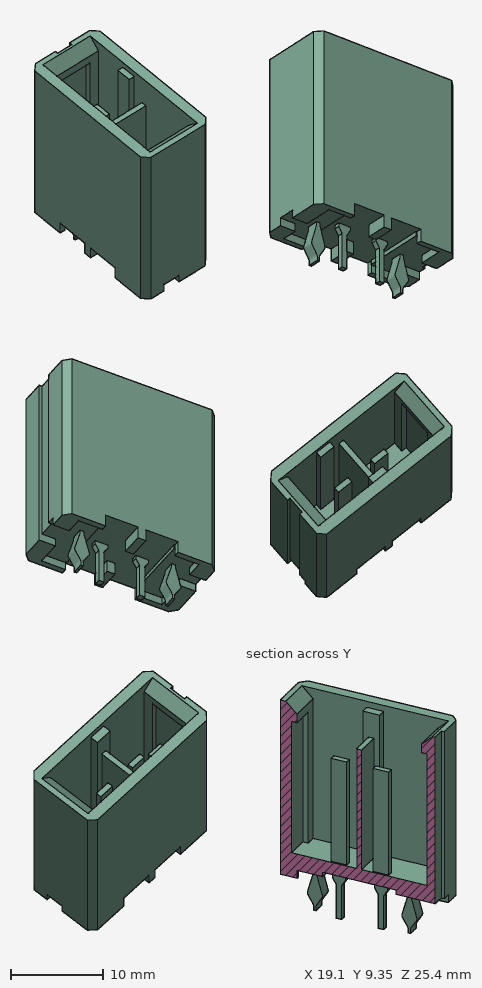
import cadquery as cq

total_height = 25.4
pin_drop = 3.84
housing_height = total_height - pin_drop
length = 19.08
width = 9.35
corner_chamfer = 0.8

mouth_length = 17.73
cavity_length = 15.04
cavity_width = 6.75
lead_in_depth = 1.27
floor_height = 3.05

recess_width = 4.37
recess_depth = 0.64
recess_top = housing_height - 2.35

partition_thickness = 0.64
partition_top = 17.8
key_top = 20.83
back_key_depth = 0.7
front_key_width = 2.03
front_key_depth = 0.97

groove_width = 2.03
groove_depth = 0.35

notch_length = 9.05
notch_inner_length = 8.85
notch_height = 1.5
pocket_height = 0.97
skirt_thickness = 0.69
rib_width = 1.0

contact_x = 2.55
contact_thickness = 0.65
blade_width = 1.88
blade_top = 15.75
shoulder_half = 0.8
shoulder_low = 1.07
tail_half = 0.33
taper_low = 0.33

clip_x = 5.72
clip_front = -1.63
clip_back = -0.2
opening_clearance = 0.35
opening_front = clip_front - opening_clearance
opening_back = clip_back + opening_clearance
neck_half = 0.23
neck_low = 0.6
barb_half = 0.91
barb_upper = (0.9, -1.68)
barb_widest_z = -1.88
barb_lower = (0.85, -2.1)
tip_half = 0.15
tip_curve_start = (0.23, -3.07)
tip_curve_middle = (0.18, -3.2)
tip_curve_end_z = -3.35


def block(x_range, y_range, z_range):
    """Axis-aligned box between the given limits."""
    x0, x1 = x_range
    y0, y1 = y_range
    z0, z1 = z_range
    box = cq.Workplane("XY").box(x1 - x0, y1 - y0, z1 - z0, centered=False)
    return box.translate((x0, y0, z0))


def centred(size, middle=0.0):
    """Limits of a span of the given size about its middle."""
    return (middle - size / 2, middle + size / 2)


def make_cavity():
    lead_in_low = housing_height - lead_in_depth
    outline = [
        (-cavity_length / 2, floor_height),
        (cavity_length / 2, floor_height),
        (cavity_length / 2, lead_in_low),
        (mouth_length / 2, housing_height),
        (-mouth_length / 2, housing_height),
        (-cavity_length / 2, lead_in_low),
    ]
    cavity = cq.Workplane("XZ").polyline(outline).close().extrude(cavity_width / 2, both=True)
    recess_length = cavity_length + 2 * recess_depth
    recesses = block(centred(recess_length), centred(recess_width), (floor_height, recess_top))
    return cavity.union(recesses)


def make_groove():
    end_face = -length / 2
    return block((end_face, end_face + groove_depth), centred(groove_width), (0, housing_height))


def make_under_cuts():
    """Shallow pocket with a deeper middle, opened at all four sides, less two ribs."""
    skirt_inner = width - 2 * skirt_thickness
    pocket = block(centred(cavity_length), centred(skirt_inner), (0, pocket_height))
    middle = block(centred(notch_inner_length), centred(skirt_inner), (0, notch_height))
    cuts = pocket.union(middle)
    for skirt_y in (-(width - skirt_thickness) / 2, (width - skirt_thickness) / 2):
        cuts = cuts.union(
            block(centred(notch_length), centred(skirt_thickness, skirt_y), (0, notch_height))
        )
    cuts = cuts.union(block((-length / 2, 0), (opening_front, groove_width / 2), (0, pocket_height)))
    cuts = cuts.union(block((0, length / 2), (opening_front, opening_back), (0, pocket_height)))
    for rib_span in ((-width / 2, opening_front), (-opening_front, width / 2)):
        cuts = cuts.cut(block(centred(rib_width), rib_span, (0, notch_height)))
    return cuts


def make_cavity_features():
    wall = cavity_width / 2
    partition = block(centred(partition_thickness), (-wall, wall), (floor_height, partition_top))
    back_key = block(
        centred(blade_width, -contact_x), (wall - back_key_depth, wall), (floor_height, key_top)
    )
    front_key = block(
        centred(front_key_width), (-wall, front_key_depth - wall), (floor_height, key_top)
    )
    return partition.union(back_key).union(front_key)


def make_contact(x):
    """Flat contact: wide blade in the cavity, narrow tail below the housing."""
    right_side = [
        (blade_width / 2, blade_top),
        (blade_width / 2, floor_height),
        (shoulder_half, floor_height),
        (shoulder_half, shoulder_low),
        (tail_half, taper_low),
        (tail_half, -pin_drop),
    ]
    left_side = [(-px, pz) for px, pz in reversed(right_side)]
    outline = cq.Workplane("XZ").polyline(right_side + left_side).close()
    return outline.extrude(contact_thickness / 2, both=True).translate((x, 0, 0))


def make_clip(x):
    """Board clip with a rounded diamond barb and a thin tip."""
    half = (
        cq.Workplane("XZ", origin=(0, clip_back, 0))
        .moveTo(0, floor_height)
        .lineTo(neck_half, floor_height)
        .lineTo(neck_half, neck_low)
        .lineTo(*barb_upper)
        .threePointArc((barb_half, barb_widest_z), barb_lower)
        .lineTo(*tip_curve_start)
        .threePointArc(tip_curve_middle, (tip_half, tip_curve_end_z))
        .lineTo(tip_half, -pin_drop)
        .lineTo(0, -pin_drop)
        .close()
        .extrude(clip_back - clip_front)
    )
    return half.union(half.mirror("YZ")).translate((x, 0, 0))


housing = block(centred(length), centred(width), (0, housing_height))
housing = housing.edges("|Z").chamfer(corner_chamfer)
housing = housing.cut(make_cavity()).cut(make_groove()).cut(make_under_cuts())

result = housing.union(make_cavity_features())
for side in (-1, 1):
    result = result.union(make_contact(side * contact_x))
    result = result.union(make_clip(side * clip_x))